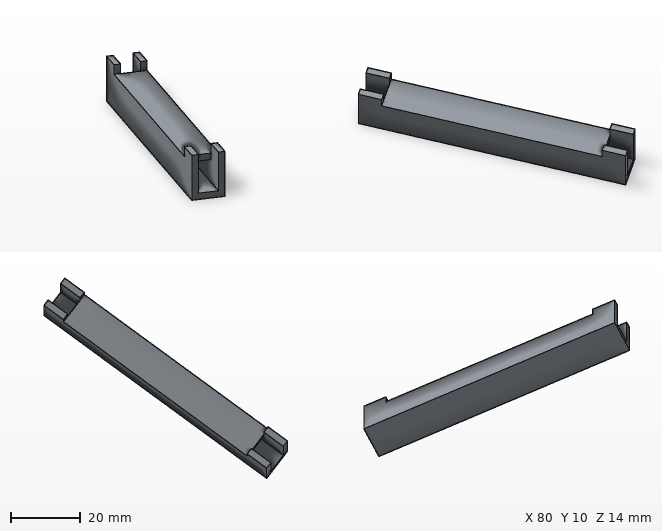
import cadquery as cq

length = 80.0
width = 10.0
height = 13.98

wall = 2.0
deck_top = 11.0
channel_width = width - 2 * wall
deck_thickness = wall

end_length = 7.0
deck_length = length - 2 * end_length


def bar(size_x, size_y, z_bottom, z_top):
    """Rectangular block centred on X and Y between two heights."""
    block = cq.Workplane("XY").box(size_x, size_y, z_top - z_bottom, centered=(True, True, False))
    return block.translate((0, 0, z_bottom))


def u_channel():
    """Floor and two full-height side walls along the whole length."""
    outer = bar(length, width, 0, height)
    return outer.cut(bar(length, channel_width, wall, height))


def deck():
    """Plate that closes the channel between the two open ends."""
    return bar(deck_length, channel_width, deck_top - deck_thickness, deck_top)


def space_above_deck():
    """Side wall material removed between the ears."""
    return bar(deck_length, width, deck_top, height)


result = u_channel().union(deck()).cut(space_above_deck())